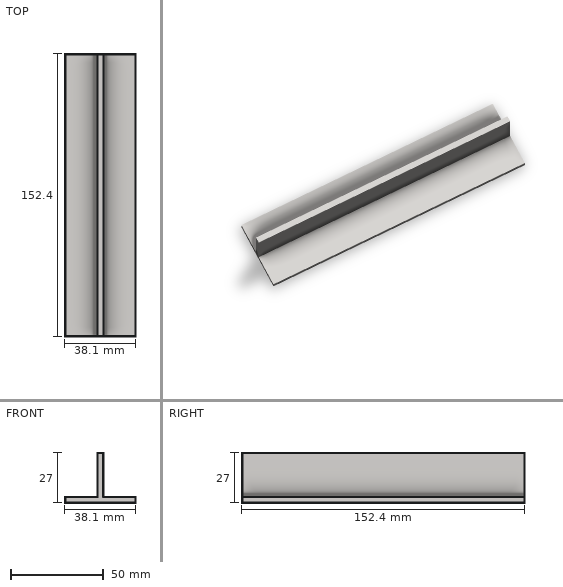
import cadquery as cq

length = 152.4
flange_width = 38.1
total_height = 27.0
thickness = 3.2

flange = cq.Workplane("XY").box(flange_width, length, thickness, centered=(True, True, False))

web = cq.Workplane("XY").box(thickness, length, total_height, centered=(True, True, False))

result = flange.union(web)